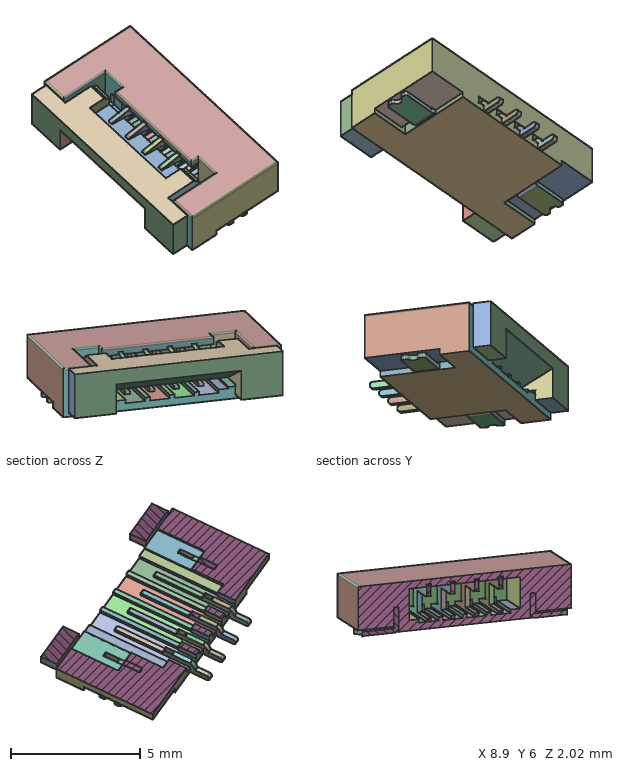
import cadquery as cq


HOUSING_WIDTH = 8.9
HOUSING_DEPTH = 4.33
HOUSING_HEIGHT = 2.0
EDGE_FILLET = 0.06
HOUSING_FRONT = -HOUSING_DEPTH

OPENING_WIDTH = 6.6
OPENING_REAR = -2.23
OPENING_FLOOR = 0.5
LIP_WIDTH = 4.58
LIP_FRONT = -2.58
LIP_BOTTOM = 1.68

CABLE_FLOOR = 0.44
CABLE_WIDTH = 4.6
SLOT_FLOOR = 0.3
SLOT_WIDTH = 0.8
WINDOW_WIDTH = 0.72
WINDOW_CLEARANCE = 0.04
GROOVE_TOP = 1.79
CAVITY_REAR = -0.8

CONTACT_COUNT = 4
CONTACT_PITCH = 1.0
CONTACT_WIDTH = 0.2
SOLDER_PLANE = -0.02
TAIL_END = 0.87
TAIL_TOP = 0.25
TAIL_FILLET = 0.13
SHOULDER_START = 0.235
SHOULDER_MIDDLE = (0.13, 0.44)
SHOULDER_TOP = 0.56
TAIL_HEEL = 0.1
SPINE_REAR = CAVITY_REAR
SPINE_FRONT = -1.2
LOWER_ARM_TIP = -3.4
LOWER_ARM_TOP = CABLE_FLOOR
UPPER_ARM_TOP = 1.74
UPPER_ARM_BEND = LIP_FRONT
UPPER_ARM_BOTTOM = 1.3
UPPER_ARM_ROOT = -2.26
UPPER_TIP = -3.48
UPPER_TIP_TOP = 1.6
UPPER_TIP_BOTTOM = 1.53
UPPER_TIP_CHAMFER = 0.09
UPPER_TIP_CHAMFER_DROP = 0.04

TAB_THICKNESS = 0.2
TAB_OUTER = 4.4
TAB_LEG_INNER = 2.75
TAB_LEG_OUTER = TAB_LEG_INNER + TAB_THICKNESS
TAB_LENGTH = 1.0
TAB_FRONT = -2.47
TAB_CENTER = TAB_FRONT + TAB_LENGTH / 2
TAB_TOP = 1.0
TAB_TOP_FILLET = 0.09
TAB_BEND_RADIUS = 0.19
FORK_RADIUS = 0.2
PRONG_FILLET = 0.1
TAB_RECESS_FRONT = -3.1
TAB_RECESS_HEIGHT = 0.23

FLANGE_WIDTH = 8.5
FLANGE_FRONT = -5.13
FLANGE_REAR = -4.41
FLANGE_BOTTOM = 0.2
TONGUE_WIDTH = 6.18
TONGUE_REAR = -2.87
TONGUE_BOTTOM = 0.6
SLIDER_TOP = HOUSING_HEIGHT
CABLE_MOUTH_WIDTH = 5.1
CABLE_MOUTH_TOP = 1.4
CABLE_RAMP_REAR = -3.5
POCKET_WIDTH = LIP_WIDTH
POCKET_FRONT = -3.85
POCKET_FLOOR = 1.45
STEP_TOP = 1.86
STEP_FRONT = -2.98
STEP_SLOPE_FRONT = -3.12

contact_places = [(i - (CONTACT_COUNT - 1) / 2) * CONTACT_PITCH for i in range(CONTACT_COUNT)]


def box(x_range, y_range, z_range):
    """Axis-aligned block given by its two limits along each axis."""
    (x0, x1), (y0, y1), (z0, z1) = x_range, y_range, z_range
    return cq.Workplane("XY").box(x1 - x0, y1 - y0, z1 - z0, centered=False).translate((x0, y0, z0))


def centered_box(width, y_range, z_range, x=0):
    """Block of the given width, centred on x."""
    return box((x - width / 2, x + width / 2), y_range, z_range)


def side_profile(points, width):
    """Extrude a closed outline of (y, z) points to the given width, centred on X = 0."""
    outline = cq.Workplane("YZ").polyline(points).close()
    return outline.extrude(width / 2, both=True)


def make_contact(x):
    """C-shaped sheet contact in the plane at x, with a solder tail behind the housing."""
    arm_radius = (LOWER_ARM_TOP - SLOT_FLOOR) / 2
    outline = (
        cq.Workplane("YZ")
        .moveTo(0, 0)
        .lineTo(TAIL_HEEL, SOLDER_PLANE)
        .lineTo(TAIL_END, SOLDER_PLANE)
        .lineTo(TAIL_END, TAIL_TOP)
        .lineTo(SHOULDER_START, TAIL_TOP)
        .threePointArc(SHOULDER_MIDDLE, (0, SHOULDER_TOP))
        .lineTo(SPINE_REAR, SHOULDER_TOP)
        .lineTo(SPINE_REAR, UPPER_ARM_TOP)
        .lineTo(UPPER_ARM_BEND, UPPER_ARM_TOP)
        .lineTo(UPPER_TIP + UPPER_TIP_CHAMFER, UPPER_TIP_TOP)
        .lineTo(UPPER_TIP, UPPER_TIP_TOP - UPPER_TIP_CHAMFER_DROP)
        .lineTo(UPPER_TIP, UPPER_TIP_BOTTOM)
        .lineTo(TONGUE_REAR, POCKET_FLOOR)
        .lineTo(UPPER_ARM_ROOT, UPPER_ARM_BOTTOM)
        .lineTo(SPINE_FRONT, UPPER_ARM_BOTTOM)
        .lineTo(SPINE_FRONT, LOWER_ARM_TOP)
        .lineTo(LOWER_ARM_TIP + arm_radius, LOWER_ARM_TOP)
        .threePointArc((LOWER_ARM_TIP, SLOT_FLOOR + arm_radius), (LOWER_ARM_TIP + arm_radius, SLOT_FLOOR))
        .lineTo(0, SLOT_FLOOR)
        .close()
    )
    contact = outline.extrude(CONTACT_WIDTH / 2, both=True).translate((x, 0, 0))
    return contact.edges("|X and >Y").fillet(TAIL_FILLET)


def make_tab_leg():
    """Upright leg of the tab on the +X side: full length below the opening floor, shorter above it."""
    tab_rear = TAB_FRONT + TAB_LENGTH
    upper = box((TAB_LEG_INNER, TAB_LEG_OUTER), (OPENING_REAR, tab_rear), (SOLDER_PLANE, TAB_TOP))
    upper = upper.edges("|Y and >Z").fillet(TAB_TOP_FILLET)
    return upper.union(box((TAB_LEG_INNER, TAB_LEG_OUTER), (TAB_FRONT, tab_rear), (SOLDER_PLANE, OPENING_FLOOR)))


def make_tab():
    """Tab on the +X side; the other one is its mirror image."""
    foot = box((TAB_LEG_INNER, TAB_OUTER), (TAB_FRONT, TAB_FRONT + TAB_LENGTH),
               (SOLDER_PLANE, SOLDER_PLANE + TAB_THICKNESS))
    fork = (cq.Workplane("XY", origin=(TAB_OUTER, TAB_CENTER, SOLDER_PLANE))
            .circle(FORK_RADIUS).extrude(TAB_THICKNESS))
    foot = foot.cut(fork).edges("|Z and >X").fillet(PRONG_FILLET)
    bend = foot.union(make_tab_leg()).edges("|Y and <X and <Z")
    return bend.fillet(TAB_BEND_RADIUS)


def make_slider():
    """T-shaped lock: front flange, tongue, sloping cable mouth below and contact pocket on top."""
    slider = centered_box(FLANGE_WIDTH, (FLANGE_FRONT, FLANGE_REAR), (FLANGE_BOTTOM, SLIDER_TOP))
    slider = slider.union(centered_box(TONGUE_WIDTH, (FLANGE_REAR, TONGUE_REAR), (TONGUE_BOTTOM, SLIDER_TOP)))
    mouth = [(FLANGE_FRONT, 0), (FLANGE_FRONT, CABLE_MOUTH_TOP), (CABLE_RAMP_REAR, TONGUE_BOTTOM),
             (CABLE_RAMP_REAR, 0)]
    slider = slider.cut(side_profile(mouth, CABLE_MOUTH_WIDTH))
    slider = slider.cut(centered_box(POCKET_WIDTH, (POCKET_FRONT, TONGUE_REAR), (POCKET_FLOOR, SLIDER_TOP)))
    step = [(STEP_SLOPE_FRONT, SLIDER_TOP), (STEP_FRONT, STEP_TOP), (TONGUE_REAR, STEP_TOP),
            (TONGUE_REAR, SLIDER_TOP)]
    return slider.cut(side_profile(step, TONGUE_WIDTH))


def make_housing():
    """Block with the slider opening, cable cavity, contact passages and tab spaces."""
    housing = centered_box(HOUSING_WIDTH, (HOUSING_FRONT, 0), (0, HOUSING_HEIGHT))
    opening = centered_box(OPENING_WIDTH, (HOUSING_FRONT, OPENING_REAR), (OPENING_FLOOR, HOUSING_HEIGHT))
    lip = centered_box(LIP_WIDTH, (LIP_FRONT, OPENING_REAR), (LIP_BOTTOM, HOUSING_HEIGHT))
    housing = housing.cut(opening.cut(lip))
    housing = housing.faces(">Z").edges().fillet(EDGE_FILLET)
    housing = housing.cut(centered_box(CABLE_WIDTH, (HOUSING_FRONT, OPENING_REAR), (CABLE_FLOOR, OPENING_FLOOR)))
    housing = housing.cut(centered_box(CABLE_WIDTH, (LIP_FRONT, CAVITY_REAR), (CABLE_FLOOR, LIP_BOTTOM)))
    for x in contact_places:
        slot = centered_box(SLOT_WIDTH, (HOUSING_FRONT, CAVITY_REAR), (SLOT_FLOOR, CABLE_FLOOR), x)
        window = centered_box(WINDOW_WIDTH, (CAVITY_REAR, 0), (SLOT_FLOOR, SHOULDER_TOP + WINDOW_CLEARANCE), x)
        groove = centered_box(CONTACT_WIDTH, (LIP_FRONT, CAVITY_REAR), (LIP_BOTTOM, GROOVE_TOP), x)
        housing = housing.cut(slot).cut(window).cut(groove)
    recess = box((TAB_LEG_INNER, HOUSING_WIDTH / 2), (TAB_RECESS_FRONT, 0), (0, TAB_RECESS_HEIGHT))
    slit = box((TAB_LEG_INNER, TAB_LEG_OUTER), (TAB_RECESS_FRONT, OPENING_REAR), (0, OPENING_FLOOR))
    tab_space = recess.union(slit).union(make_tab_leg())
    housing = housing.cut(tab_space).cut(tab_space.mirror("YZ"))
    return housing


housing = make_housing()
slider = make_slider()
contacts = [make_contact(x) for x in contact_places]
right_tab = make_tab()
tabs = [right_tab, right_tab.mirror("YZ")]

result = cq.Compound.makeCompound(
    [housing.val(), slider.val(), *[contact.val() for contact in contacts], *[tab.val() for tab in tabs]]
)